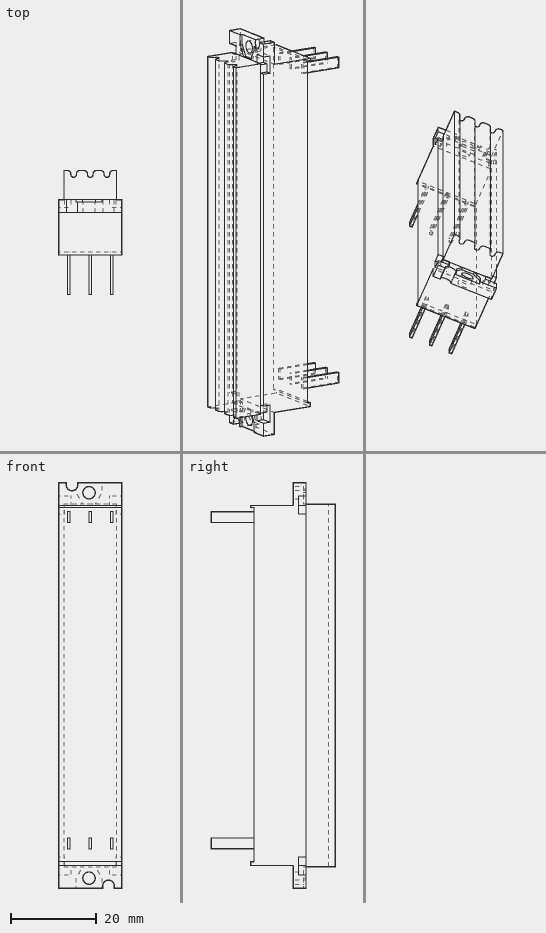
import cadquery as cq
import math


length = 94.8
width = 14.8
body_length = 84.2
flange_front = 9.2
flange_back = 12.2

lip_height = 0.8
top_lip_thickness = 0.6
bottom_lip_thickness = 0.95

heatsink_width = 12.3
heatsink_length = 84.75
heatsink_back = 19.1
heatsink_base_width = 12.1
groove_count = 3
groove_pitch = 3.9
groove_depth = 1.6
groove_radius = 0.62
fin_corner_radius = 0.9

pin_reach = 10.0
pin_thickness = 0.7
pin_height = 2.6
pin_pitch = 5.0
pin_row_heights = (39.3, -36.9)

hole_x = -0.3
hole_z = 45.0
hole_diameter = 2.8
nut_across_flats = 5.2
nut_recess_depth = 0.6
notch_x = 4.3
notch_radius = 1.3
notch_center_inset = 0.6

slot_height = 4.2
slot_depth = 1.8
slot_reach = 2.8
slot_z = 42.2


def block(x_range, y_range, z_range):
    """Box spanning the given (low, high) limits along each axis."""
    spans = [high - low for low, high in (x_range, y_range, z_range)]
    corner = (x_range[0], y_range[0], z_range[0])
    return cq.Workplane("XY").box(*spans, centered=False).translate(corner)


def centered(size, middle=0):
    """Limits of a span of the given size about its middle."""
    return (middle - size / 2, middle + size / 2)


def cylinder_along_y(x, z, radius, y_low, y_high):
    """Cylinder parallel to Y between two Y positions."""
    axis = cq.Vector(0, 1, 0)
    return cq.Workplane(cq.Solid.makeCylinder(radius, y_high - y_low, cq.Vector(x, y_low, z), axis))


def make_housing():
    """Body block with its end flanges and front lips."""
    end = body_length / 2
    across = centered(width)
    body = block(across, (0, flange_back), centered(body_length))
    flange = block(across, (flange_front, flange_back), centered(length))
    top_lip = block(across, (-lip_height, 0), (end - top_lip_thickness, end))
    bottom_lip = block(across, (-lip_height, 0), (-end, -end + bottom_lip_thickness))
    return body.union(flange).union(top_lip).union(bottom_lip)


def make_nut_recess(side):
    """Nut pocket that stays at full width out to the flange end; its closed end is half a hexagon."""
    half_corners = nut_across_flats / math.sqrt(3)
    half_flat = half_corners / 2
    closed_end = hole_z - nut_across_flats / 2
    outline = [
        (-half_corners, length / 2),
        (-half_corners, hole_z),
        (-half_flat, closed_end),
        (half_flat, closed_end),
        (half_corners, hole_z),
        (half_corners, length / 2),
    ]
    points = [(hole_x + x, side * z) for x, z in outline]
    plane = cq.Workplane("XZ", origin=(0, flange_back, 0))
    return plane.polyline(points).close().extrude(nut_recess_depth)


def make_notch(side):
    """U-shaped notch open at the flange end; the two notches sit on opposite sides."""
    x = -side * notch_x
    center_z = side * (length / 2 - notch_center_inset)
    y_range = (flange_front, flange_back)
    mouth = block(centered(2 * notch_radius, x), y_range, sorted((center_z, side * length / 2)))
    return cylinder_along_y(x, center_z, notch_radius, *y_range).union(mouth)


def cut_flange_features(housing):
    """Mounting hole, nut recess and notch in each flange."""
    for side in (1, -1):
        hole = cylinder_along_y(hole_x, side * hole_z, hole_diameter / 2, flange_front, flange_back)
        housing = housing.cut(hole).cut(make_nut_recess(side)).cut(make_notch(side))
    return housing


def cut_side_slots(housing):
    """Slots open to the back and to both long sides, at each end of the body."""
    slot_y = (flange_back - slot_depth, flange_back)
    outer = width / 2
    for z in (slot_z, -slot_z):
        for x_range in ((-outer, slot_reach - outer), (outer - slot_reach, outer)):
            housing = housing.cut(block(x_range, slot_y, centered(slot_height, z)))
    return housing


def make_groove(x):
    """Round-bottomed groove whose mouth flares out to round the fin corners."""
    mouth = groove_radius + fin_corner_radius
    bend = fin_corner_radius * (1 - math.cos(math.pi / 4))
    shoulder_y = heatsink_back - fin_corner_radius
    floor_y = heatsink_back - groove_depth
    return (
        cq.Workplane("XY", origin=(x, 0, -heatsink_length / 2))
        .moveTo(-mouth, heatsink_back)
        .threePointArc((-groove_radius - bend, heatsink_back - bend), (-groove_radius, shoulder_y))
        .lineTo(-groove_radius, floor_y + groove_radius)
        .threePointArc((0, floor_y), (groove_radius, floor_y + groove_radius))
        .lineTo(groove_radius, shoulder_y)
        .threePointArc((groove_radius + bend, heatsink_back - bend), (mouth, heatsink_back))
        .close()
        .extrude(heatsink_length)
    )


def make_heatsink():
    """Finned block on a narrower base that shows inside the side slots."""
    base_y = (flange_back - slot_depth, flange_back)
    base = block(centered(heatsink_base_width), base_y, centered(body_length))
    fins_y = (flange_back, heatsink_back)
    heatsink = block(centered(heatsink_width), fins_y, centered(heatsink_length)).union(base)
    for index in range(groove_count):
        x = (index - (groove_count - 1) / 2) * groove_pitch
        heatsink = heatsink.cut(make_groove(x))
    return heatsink


def add_pins(part):
    """Two rows of three flat pins on the front face."""
    for z in pin_row_heights:
        for x in (-pin_pitch, 0, pin_pitch):
            pin = block(centered(pin_thickness, x), (-pin_reach, 0), centered(pin_height, z))
            part = part.union(pin)
    return part


housing = cut_side_slots(cut_flange_features(make_housing()))
result = add_pins(housing.union(make_heatsink()))